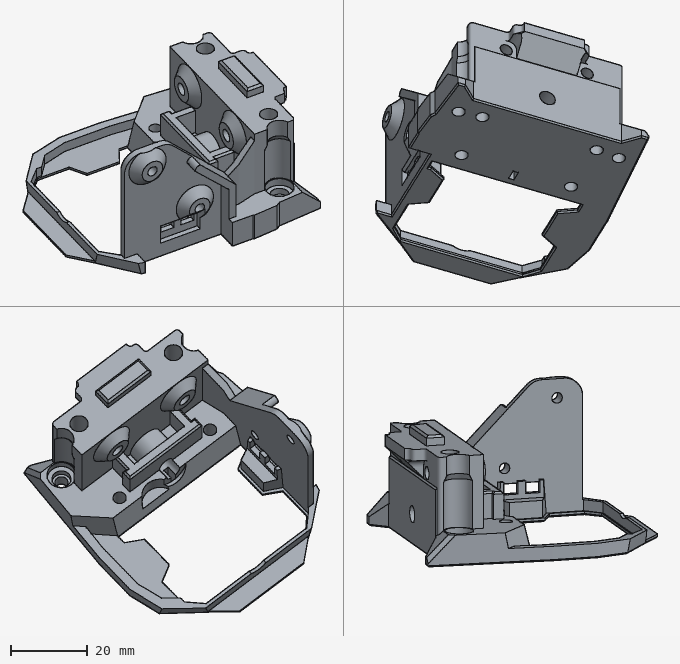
import cadquery as cq
import math


FLOOR_Z = 1.0
RIM_Z = 3.95
BASE_Z = 8.2
BLOCK_Z = 27.8
PLATE_TOP_Z = 36.7
EDGE_CHAMFER = 0.4

SIDE_X = 29.5
REAR_X = 27.0
REAR_Y = 16.8
SIDE_REAR_Y = -16.4
SIDE_FRONT_Y = -28.7
RING_FRONT_Y = -45.55
LIP_FRONT_Y = -50.7
LIP_HALF = 11.0
LIP_ROOT_HALF = 17.05

WINDOW_X = 20.65
WINDOW_REAR_Y = -11.4
BASE_DRAFT = 2.1
CORNER_Y = -3.75
CORNER_LEAN = 0.8
WINDOW_CORNER_Y = -40.55
WINDOW_FRONT_X = 17.2
WINDOW_FRONT_Y = -44.2
RIM_INNER_Y = -44.6

BLOCK_HALF = 21.6
BLOCK_DEPTH = 12.3
REAR_PANEL_Y = 12.75
REAR_PANEL_Z = 19.4
BORE_Z = BASE_Z
BORE_D = 4.4
COLLAR_R = 5.05
RIM_NOTCH_D = 9.8
SCREW_D = 3.4
SCREW_SEAT_D = 4.7
SCREW_HEAD_D = 7.5

CORNER_HOLE = (22.6, 6.95)
BLOCK_HOLE = (16.15, 7.5)
BASE_HOLE = (15.5, -8.0)
BORE_SEAT_D = 8.3
SLOT_HALF = 0.75
BOX_FRONT_Y = -8.4
POCKET_D = 9.6
POCKET_X = -6.95
POCKET_Y = -14.3
POCKET_FLOOR_Z = 3.7

FAR = 34.1
OVERLAP = 0.7

PLATE_X = 21.35
PLATE_OUTER_X = 23.25
PLATE_FRONT_Y = -40.3
PLATE_CORNER_R = 5.0
VALLEY_Y = -9.0
VALLEY_Z = 18.6
GUSSET_X = 27.4
RIM_END_Y = -36.5
GUSSET_T = 2.2
GUSSET_FRONT_Y = VALLEY_Y - GUSSET_T


def prism(points, z0, z1):
    """Upright prism over an XY outline."""
    return cq.Workplane("XY").workplane(offset=z0).polyline(points).close().extrude(z1 - z0)


def box(x0, x1, y0, y1, z0, z1):
    return cq.Workplane("XY").box(x1 - x0, y1 - y0, z1 - z0, centered=False).translate((x0, y0, z0))


def drafted(lower, upper, z1):
    """Ruled solid from an outline at z = 0 to one at z1."""
    lower_wire = cq.Workplane("XY").polyline(lower).close()
    return lower_wire.workplane(offset=z1).polyline(upper).close().loft(ruled=True)


def cyl_z(x, y, d, z0, z1):
    return cq.Workplane("XY").workplane(offset=z0).center(x, y).circle(d / 2).extrude(z1 - z0)


def cyl_y(x, z, d, y0, y1):
    return cq.Workplane("XZ", origin=(x, y0, z)).circle(d / 2).extrude(y0 - y1)


def side_profile(points, x0, x1):
    """Prism along X over a YZ outline."""
    return cq.Workplane("YZ", origin=(x0, 0, 0)).polyline(points).close().extrude(x1 - x0)


def mirrored(half):
    """Closed outline from its -X half, listed from rear to front."""
    return half + [(-x, y) for x, y in reversed(half)]


def ring():
    sides = [(-REAR_X, REAR_Y), (-SIDE_X, SIDE_REAR_Y), (-SIDE_X, SIDE_FRONT_Y)]
    upper = mirrored(sides + [(-26.9, -38.3), (-18.1, RING_FRONT_Y)])
    lower = mirrored(sides + [(-27.1, -37.5), (-LIP_ROOT_HALF, RING_FRONT_Y)])
    lip_root = [(-LIP_ROOT_HALF, RING_FRONT_Y + OVERLAP), (-LIP_ROOT_HALF, RING_FRONT_Y)]
    lip = mirrored(lip_root + [(-LIP_HALF, LIP_FRONT_Y)])
    body = drafted(lower, upper, RIM_Z).union(prism(lip, 0, FLOOR_Z))

    recess = [
        (-25.55, 0), (-26.9, -14.5), (-26.9, SIDE_FRONT_Y), (-24.95, -35.85), (-21.1, -39.05),
        (-21.1, WINDOW_CORNER_Y), (-WINDOW_FRONT_X, RIM_INNER_Y), (WINDOW_FRONT_X, RIM_INNER_Y),
        (PLATE_X, WINDOW_CORNER_Y), (PLATE_X, 0),
    ]
    body = body.cut(prism(recess, FLOOR_Z, RIM_Z))

    tab = [(-WINDOW_X, -15.9), (-15.95, -18.55), (-15.95, -28.35), (-WINDOW_X, -31.0)]
    half = [(-WINDOW_X, WINDOW_REAR_Y)] + tab
    half += [(-WINDOW_X, WINDOW_CORNER_Y), (-WINDOW_FRONT_X, WINDOW_FRONT_Y)]
    body = body.cut(prism(mirrored(half), 0, RIM_Z))
    body = body.cut(box(WINDOW_X - OVERLAP, PLATE_X, tab[0][1], WINDOW_REAR_Y, 0, RIM_Z))

    body = body.cut(box(PLATE_OUTER_X, FAR, RIM_END_Y, GUSSET_FRONT_Y, 0, RIM_Z))
    return body.cut(cyl_y(0, BORE_Z, RIM_NOTCH_D, WINDOW_CORNER_Y, LIP_FRONT_Y))


def left_side_x(y):
    """X of the straight left side behind its widest point."""
    return -REAR_X - (SIDE_X - REAR_X) * (REAR_Y - y) / (REAR_Y - SIDE_REAR_Y)


def slab():
    def outline(draft):
        corner_y = CORNER_Y - CORNER_LEAN * draft
        rear_edge = [(PLATE_X, REAR_Y), (-REAR_X, REAR_Y)]
        front_edge = [(left_side_x(corner_y), corner_y), (-WINDOW_X, WINDOW_REAR_Y - draft)]
        return rear_edge + front_edge + [(PLATE_X, WINDOW_REAR_Y - draft)]

    body = drafted(outline(BASE_DRAFT), outline(0), BASE_Z)
    right = [
        (WINDOW_X, REAR_Y), (REAR_X, REAR_Y), (28.0, 3.8), (28.85, 2.5), (29.4, -4.6),
        (29.2, -5.0), (29.2, GUSSET_FRONT_Y), (WINDOW_X, GUSSET_FRONT_Y),
    ]
    return body.union(prism(right, 0, BASE_Z))


def trim_rear(body):
    slope_y = 11.05
    gap_half = 20.85
    edge_chamfer = 1.1
    drop = REAR_Y - slope_y
    wedge = [(slope_y, BASE_Z), (REAR_Y, BASE_Z - drop), (REAR_Y, BASE_Z)]
    body = body.cut(side_profile(wedge, -FAR, FAR))
    mid_y = (slope_y + REAR_Y) / 2
    left_edge = cq.selectors.NearestToPointSelector((left_side_x(mid_y), mid_y, BASE_Z - drop / 2))
    body = body.edges(left_edge).chamfer(edge_chamfer)
    spread = REAR_Y - REAR_PANEL_Y
    gap = mirrored([(-gap_half - spread, REAR_Y), (-gap_half, REAR_PANEL_Y)])
    return body.cut(prism(gap, 0, BASE_Z))


PANEL_HALF = 20.45
TONGUE_Y = 17.45
TONGUE_STEP_Y = 16.0
TONGUE_Z = 24.75
TONGUE_HALF = 10.7
TIP_HALF = 8.5


def tongue_support():
    """45 degree wedge under the tongue, its flanks flaring out to the tongue's full width."""
    flare = TONGUE_HALF - TIP_HALF
    rise = TONGUE_Y - BLOCK_DEPTH
    low_z = TONGUE_Z - rise
    mid = flare * (1 - math.sqrt(0.5))
    column = cq.Workplane("XZ", origin=(0, TONGUE_Y, 0)).moveTo(-TONGUE_HALF, TONGUE_Z)
    column = column.threePointArc((-TIP_HALF - mid, TONGUE_Z - mid), (-TIP_HALF, TONGUE_Z - flare))
    column = column.lineTo(-TIP_HALF, low_z).lineTo(TIP_HALF, low_z).lineTo(TIP_HALF, TONGUE_Z - flare)
    column = column.threePointArc((TIP_HALF + mid, TONGUE_Z - mid), (TONGUE_HALF, TONGUE_Z))
    column = column.close().extrude(rise)
    wedge = [(BLOCK_DEPTH, TONGUE_Z), (TONGUE_Y, TONGUE_Z), (BLOCK_DEPTH, low_z)]
    bevel_y = TONGUE_STEP_Y - 0.7
    plan = mirrored([(-TONGUE_HALF, BLOCK_DEPTH), (-TONGUE_HALF, bevel_y), (-TIP_HALF, TONGUE_Y)])
    shape = column.intersect(side_profile(wedge, -TONGUE_HALF, TONGUE_HALF))
    return shape.intersect(prism(plan, low_z, TONGUE_Z))


def near_y(y):
    """Picks edges centred within the tongue's width and height, close to the given y."""
    reach = 0.35
    side = TONGUE_HALF + reach
    return cq.selectors.BoxSelector((-side, y - reach, TONGUE_Z), (side, y + reach, BLOCK_Z))


def block():
    rear_fillet = 0.95
    step_fillet = 1.0
    root_fillet = 0.8
    body = box(-BLOCK_HALF, BLOCK_HALF, 0, BLOCK_DEPTH, 0, BLOCK_Z)
    body = body.edges("|Z and >Y").fillet(rear_fillet)

    panel_t = REAR_PANEL_Y - BLOCK_DEPTH
    panel = [(BLOCK_DEPTH - OVERLAP, 0), (REAR_PANEL_Y, 0), (REAR_PANEL_Y, REAR_PANEL_Z - panel_t),
             (BLOCK_DEPTH, REAR_PANEL_Z), (BLOCK_DEPTH - OVERLAP, REAR_PANEL_Z)]
    body = body.union(side_profile(panel, -PANEL_HALF, PANEL_HALF))

    inner_y = BLOCK_DEPTH - OVERLAP
    half = [(-TONGUE_HALF, inner_y), (-TONGUE_HALF, TONGUE_STEP_Y), (-TIP_HALF, TONGUE_STEP_Y),
            (-TIP_HALF, TONGUE_Y)]
    tongue = prism(mirrored(half), TONGUE_Z, BLOCK_Z)
    tongue = tongue.edges("|Z").edges(near_y(TONGUE_STEP_Y)).fillet(step_fillet)
    body = body.union(tongue).edges("|Z").edges(near_y(BLOCK_DEPTH)).fillet(root_fillet)
    body = body.union(tongue_support())

    key_half = 7.35
    key_top_z = 30.5
    key_chamfer = 0.6
    key = box(-key_half, key_half, 6.2, 11.2, BLOCK_Z, key_top_z)
    return body.union(key.faces(">Z").chamfer(key_chamfer))


BOSS_X = 11.45
BOSS_Z = 21.55
BOSS_H = 2.5


def front_boss(x):
    tip_r = 3.6
    wide = cq.Workplane("XZ", origin=(x, 0, BOSS_Z)).circle(tip_r + BOSS_H)
    return wide.workplane(offset=BOSS_H).circle(tip_r).loft()


def front_box():
    top_z = 15.4
    top_chamfer = 0.55
    wall_half = 12.35
    arm_half = 11.1
    arm_inner = 8.6
    wall_rear_y = -5.5
    cavity_y = -5.8
    half = [(-arm_half, 0), (-arm_half, wall_rear_y), (-wall_half, wall_rear_y), (-wall_half, BOX_FRONT_Y)]
    body = prism(mirrored(half), BASE_Z, top_z)
    body = body.faces(">Z").edges("not >Y").chamfer(top_chamfer)
    body = body.cut(box(-arm_inner, arm_inner, cavity_y, 0, BASE_Z, top_z))
    collar = cyl_y(0, BORE_Z, 2 * COLLAR_R, 0, cavity_y)
    return body.union(collar.intersect(box(-COLLAR_R, COLLAR_R, cavity_y, 0, BASE_Z, top_z)))


PIN_D = 2.8
PIN_TIP_D = 6.2
PIN_H = 2.5
PINS = [(-33.35, 31.55), (-19.0, 13.7)]


def side_plate():
    top_rear_y = VALLEY_Y - (PLATE_TOP_Z - VALLEY_Z)
    shape = [
        (VALLEY_Y, 0), (VALLEY_Y, VALLEY_Z), (top_rear_y, PLATE_TOP_Z),
        (PLATE_FRONT_Y, PLATE_TOP_Z), (PLATE_FRONT_Y, 0),
    ]
    body = side_profile(shape, PLATE_X, PLATE_OUTER_X)
    body = body.edges("|X and >Z").fillet(PLATE_CORNER_R)
    for y, z in PINS:
        wide = cq.Workplane("YZ", origin=(PLATE_OUTER_X, y, z)).circle(PIN_TIP_D / 2 + PIN_H)
        boss = wide.workplane(offset=PIN_H).circle(PIN_TIP_D / 2).loft()
        body = body.union(boss.intersect(box(PLATE_X, FAR, LIP_FRONT_Y, 0, 0, PLATE_TOP_Z)))
    return body


def link_wall():
    """Slanted wall from the block to the side plate, its top falling to the plate's valley."""
    root_z = 25.6
    plan = [(19.6, 0), (PLATE_X, -6.55), (PLATE_X, VALLEY_Y), (PLATE_OUTER_X, VALLEY_Y), (PLATE_OUTER_X, -5.7),
            (BLOCK_HALF, 0)]
    wall = prism(plan, 0, BLOCK_Z)
    fall = [(0, 0), (0, root_z), (VALLEY_Y, VALLEY_Z), (VALLEY_Y, 0)]
    return wall.intersect(side_profile(fall, 0, FAR))


def gusset():
    under_z = 17.85
    tip_z = 29.45
    tip_rear = (VALLEY_Y - (tip_z - VALLEY_Z), tip_z)
    tip_mid = (-20.8, 29.1)
    tip_front = (-21.4, 27.95)
    outline = cq.Workplane("YZ", origin=(PLATE_OUTER_X - OVERLAP, 0, 0)).moveTo(VALLEY_Y, 0)
    outline = outline.lineTo(VALLEY_Y, VALLEY_Z).lineTo(*tip_rear).threePointArc(tip_mid, tip_front)
    outline = outline.lineTo(GUSSET_FRONT_Y, under_z).lineTo(GUSSET_FRONT_Y, 0).close()
    return outline.extrude(GUSSET_X - PLATE_OUTER_X + OVERLAP)


LATCH_Y = -23.4
PAD_Z = 5.6
RAIL_Z = 6.9
LATCH_TOP_Z = 10.2
LATCH_X = 20.2
POST_W = 2.1
LATCH_GAP = 3.9


def latch():
    pad_x = 16.7
    nose_half = 4.5

    def outline(root_half):
        return [(pad_x, LATCH_Y - nose_half), (pad_x, LATCH_Y + nose_half),
                (PLATE_X, LATCH_Y + root_half), (PLATE_X, LATCH_Y - root_half)]

    root_low = 7.0
    root_high = 6.3
    body = drafted(outline(root_low), outline(root_high), LATCH_TOP_Z)
    body = body.cut(box(pad_x, LATCH_X, LATCH_Y - root_low, LATCH_Y + root_low, PAD_Z, LATCH_TOP_Z))
    for y in (LATCH_Y + POST_W / 2, LATCH_Y - POST_W / 2 - LATCH_GAP):
        body = body.cut(box(LATCH_X, PLATE_X, y, y + LATCH_GAP, RAIL_Z, LATCH_TOP_Z))
    return body


def latch_windows():
    """Two windows through the thinned plate, and the 45 degree roofed relief behind them."""
    top_z = 9.55
    relief_x = 21.75
    slope_x = 22.5
    end_x = PLATE_OUTER_X + PIN_H
    half = POST_W / 2 + LATCH_GAP
    relief_half = half + 1.0
    floor_z = 4.65
    outline = [(relief_x, floor_z), (relief_x, top_z), (slope_x, top_z), (end_x, top_z + end_x - slope_x),
               (end_x, floor_z)]
    cutter = cq.Workplane("XZ", origin=(0, LATCH_Y + relief_half, 0)).polyline(outline).close()
    cutter = cutter.extrude(2 * relief_half)
    for y in (LATCH_Y + POST_W / 2, LATCH_Y - half):
        cutter = cutter.union(box(PLATE_X, relief_x, y, y + LATCH_GAP, RAIL_Z, top_z))
    return cutter


def corner_hole(x, y):
    """Stepped screw hole at the block's flank, with head clearance up the block."""
    head_floor = 6.0
    seat_d = 4.9
    seat_floor = 4.1
    clear_d = 8.05
    neck_d = 6.5
    neck_z = 22.7
    cone_z = 21.1
    hole = cyl_z(x, y, SCREW_D, 0, BLOCK_Z).union(cyl_z(x, y, seat_d, seat_floor, head_floor))
    hole = hole.union(cyl_z(x, y, SCREW_HEAD_D, head_floor, BASE_Z))
    hole = hole.union(cyl_z(x, y, clear_d, BASE_Z, cone_z)).union(cyl_z(x, y, neck_d, cone_z, BLOCK_Z))
    cone = cq.Workplane("XY").workplane(offset=cone_z).center(x, y).circle(clear_d / 2)
    return hole.union(cone.workplane(offset=neck_z - cone_z).circle(neck_d / 2).loft())


def drill(body):
    through_y = TONGUE_Y
    for side in (-1, 1):
        body = body.cut(corner_hole(side * CORNER_HOLE[0], CORNER_HOLE[1]))
        x, y = side * BLOCK_HOLE[0], BLOCK_HOLE[1]
        body = body.cut(cyl_z(x, y, SCREW_D, 0, BASE_Z).union(cyl_z(x, y, SCREW_SEAT_D, BASE_Z, BLOCK_Z)))
        body = body.cut(cyl_z(side * BASE_HOLE[0], BASE_HOLE[1], SCREW_D, 0, BASE_Z))
        body = body.cut(cyl_y(side * BOSS_X, BOSS_Z, SCREW_D, through_y, -BOSS_H))
    for y, z in PINS:
        pin_hole = cq.Workplane("YZ", origin=(PLATE_X, y, z)).circle(PIN_D / 2).extrude(GUSSET_X - PLATE_X)
        body = body.cut(pin_hole)

    front_y = WINDOW_REAR_Y - BASE_DRAFT
    body = body.cut(cyl_y(0, BORE_Z, BORE_D, through_y, front_y))
    body = body.cut(cyl_y(0, BORE_Z, BORE_SEAT_D, WINDOW_REAR_Y, front_y))
    body = body.cut(box(-SLOT_HALF, SLOT_HALF, WINDOW_REAR_Y, BOX_FRONT_Y, 0, BORE_Z))
    return body.cut(cyl_z(POCKET_X, POCKET_Y, POCKET_D, POCKET_FLOOR_Z, BASE_Z))


body = ring().union(slab())
body = trim_rear(body)
for feature in (block, front_box, side_plate, link_wall, gusset, latch):
    body = body.union(feature())
for side in (-1, 1):
    body = body.union(front_boss(side * BOSS_X))
body = body.cut(latch_windows())
body = body.faces("<Z").chamfer(EDGE_CHAMFER)
result = drill(body)